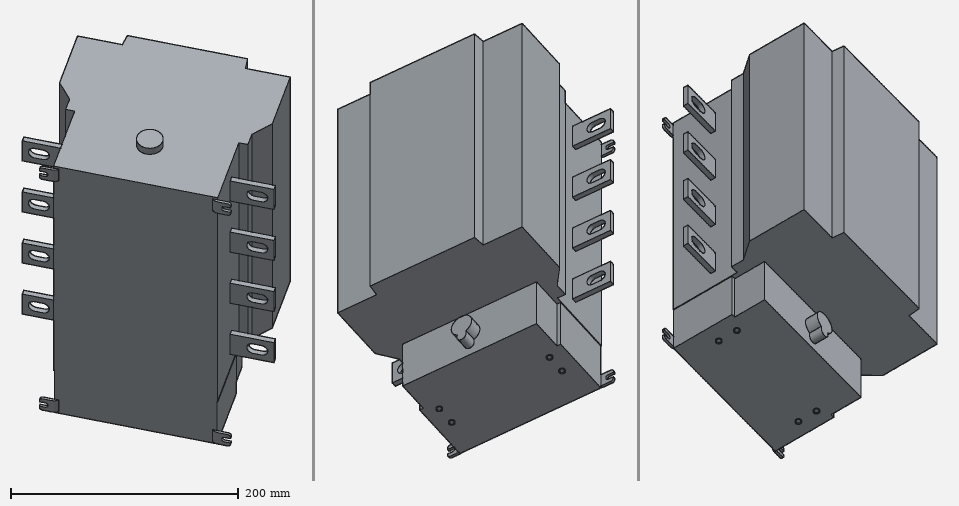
import cadquery as cq


body_height = 307.5
housing_height = 255.0
base_height = body_height - housing_height
front_half_width = 75.0
shoulder_half_width = 83.0
rear_half_width = 97.0
cap_root_half_width = 56.2
cap_tip_half_width = 55.0
front_depth = 70.8
shoulder_depth = 83.8
flare_depth = 101.2
rear_depth = 161.5
cap_depth = 173.5

base_side_inset = 0.5
base_front_depth = 64.7
base_depth = 97.7
base_rear_inset = 4.5

terminal_count = 4
terminal_pitch = housing_height / terminal_count
terminal_tip = 115.0
terminal_height = 25.0
terminal_thickness = 5.0
terminal_depth = 44.0
terminal_slot_length = 19.0
terminal_slot_width = 11.7
terminal_slot_from_tip = 15.2

lug_tip = 87.3
lug_height = 14.3
lug_inset = 2.5
lug_thickness = 2.5
lug_flat_end = 76.0
lug_bend_end = 73.5
lug_bend_thickness = 2.2
lug_foot_thickness = 1.3
lug_foot_start = 71.5
lug_foot_end = 70.0
lug_foot_lip = 0.5
lug_slot_bottom = 79.3
lug_slot_width = 5.5
lug_corner_radius = 3.0

boss_diameter = 23.5
boss_height = 7.5
boss_depth = 47.5

knob_radius = 10.8
knob_length = 13.0
knob_level = 26.3
pointer_half_width = 4.8
pointer_reach = 18.0

stud_half_spacing = 58.0
stud_depths = (37.8, 57.7)
stud_height = 2.2
stud_head_height = 1.0
stud_head_diameter = 6.0
stud_neck_diameter = 4.0


def make_housing():
    """Upper block: a stepped, symmetric outline extruded along Z."""
    right_side = [
        (front_half_width, 0),
        (front_half_width, front_depth),
        (shoulder_half_width, front_depth),
        (shoulder_half_width, shoulder_depth),
        (rear_half_width, flare_depth),
        (rear_half_width, rear_depth),
        (cap_root_half_width, rear_depth),
        (cap_tip_half_width, cap_depth),
    ]
    left_side = [(-x, y) for x, y in reversed(right_side)]
    outline = cq.Workplane("XY", origin=(0, 0, base_height)).polyline(right_side + left_side).close()
    return outline.extrude(housing_height)


def make_base():
    """Lower block, stepped in towards the back."""
    half_width = front_half_width - base_side_inset
    rear_width = 2 * (front_half_width - base_rear_inset)
    front = cq.Workplane("XY").box(2 * half_width, base_front_depth, base_height, centered=(True, False, False))
    rear = cq.Workplane("XY").box(rear_width, base_depth, base_height, centered=(True, False, False))
    return front.union(rear)


def make_terminal(level):
    """Slotted bar reaching out of both sides of the housing."""
    bar = (
        cq.Workplane("XY", origin=(0, terminal_depth, level))
        .box(2 * terminal_tip, terminal_thickness, terminal_height)
    )
    slot_offset = terminal_tip - terminal_slot_from_tip
    slots = (
        cq.Workplane("XZ", origin=(0, terminal_depth, level))
        .pushPoints([(-slot_offset, 0), (slot_offset, 0)])
        .slot2D(terminal_slot_length, terminal_slot_width)
        .extrude(terminal_thickness, both=True)
    )
    return bar.cut(slots)


def make_lug(bottom):
    """Right-hand lug: a flat fork that thins down onto the front face."""
    profile = [
        (lug_foot_end, 0),
        (lug_tip, 0),
        (lug_tip, -lug_thickness),
        (lug_flat_end, -lug_thickness),
        (lug_bend_end, -lug_bend_thickness),
        (lug_foot_start, -lug_foot_thickness),
        (lug_foot_end, -lug_foot_lip),
    ]
    plate = cq.Workplane("XY", origin=(0, 0, bottom)).polyline(profile).close().extrude(lug_height)
    plate = plate.edges("|Y and >X").fillet(lug_corner_radius)
    slot_length = 2 * (lug_tip - lug_slot_bottom)
    slot = (
        cq.Workplane("XZ", origin=(lug_tip, 0, bottom + lug_height / 2))
        .slot2D(slot_length, lug_slot_width)
        .extrude(lug_thickness)
    )
    return plate.cut(slot)


def make_knob():
    """Round knob with a pointer hanging from it."""
    face = cq.Workplane("XZ", origin=(0, base_depth, knob_level))
    pointer_centre = pointer_half_width - pointer_reach
    disc = face.circle(knob_radius).extrude(-knob_length)
    pointer = (
        face.moveTo(-pointer_half_width, 0)
        .lineTo(-pointer_half_width, pointer_centre)
        .threePointArc((0, -pointer_reach), (pointer_half_width, pointer_centre))
        .lineTo(pointer_half_width, 0)
        .close()
        .extrude(-knob_length)
    )
    return disc.union(pointer)


def make_studs():
    """Four headed studs under the base."""
    places = [(x, y) for x in (-stud_half_spacing, stud_half_spacing) for y in stud_depths]
    necks = cq.Workplane("XY").pushPoints(places).circle(stud_neck_diameter / 2).extrude(-stud_height)
    heads = (
        cq.Workplane("XY", origin=(0, 0, -stud_height))
        .pushPoints(places)
        .circle(stud_head_diameter / 2)
        .extrude(stud_head_height)
    )
    return necks.union(heads)


result = make_housing().union(make_base())

for index in range(terminal_count):
    result = result.union(make_terminal(base_height + (index + 0.5) * terminal_pitch))

for lug_bottom in (lug_inset, body_height - lug_inset - lug_height):
    lug = make_lug(lug_bottom)
    result = result.union(lug).union(lug.mirror("YZ"))

boss = (
    cq.Workplane("XY", origin=(0, boss_depth, body_height))
    .circle(boss_diameter / 2)
    .extrude(boss_height)
)
result = result.union(boss).union(make_knob()).union(make_studs())